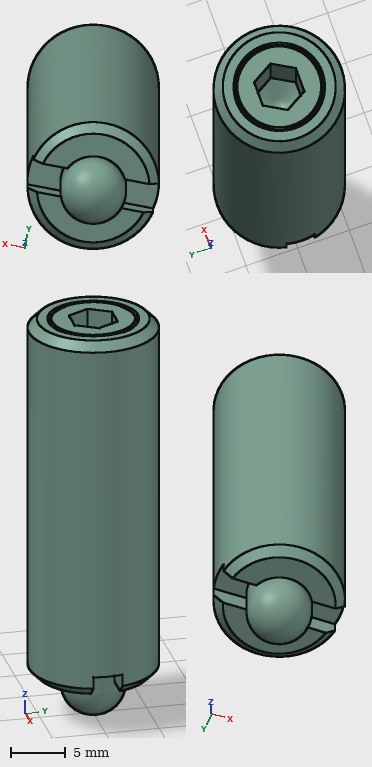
import cadquery as cq
import math

total_length = 39.0
housing_diameter = 12.0
end_chamfer = 0.85

pin_diameter = 6.0
pin_radius = pin_diameter / 2
pin_projection = 4.0
pin_seat_depth = 7.8

slot_width = 2.73
slot_depth = 2.0

hex_across_flats = 4.0
hex_across_corners = hex_across_flats / math.cos(math.pi / 6)
hex_depth = 5.0
drill_point_angle = 118.0

groove_outer_radius = 4.17
groove_inner_radius = 3.82

housing_length = total_length - pin_projection
pin_top = pin_projection + pin_seat_depth


def ring_groove():
    """Revolved V with 45 degree sides, open at the rear face."""
    middle_radius = (groove_outer_radius + groove_inner_radius) / 2
    depth = (groove_outer_radius - groove_inner_radius) / 2
    return (
        cq.Workplane("XZ")
        .moveTo(groove_inner_radius, total_length)
        .lineTo(groove_outer_radius, total_length)
        .lineTo(middle_radius, total_length - depth)
        .close()
        .revolve(360, (0, 0, 0), (0, 1, 0))
    )


def hex_socket():
    """Hexagonal prism with a drill cone below it."""
    floor = total_length - hex_depth
    cone_radius = hex_across_corners / 2
    cone_depth = cone_radius / math.tan(math.radians(drill_point_angle / 2))
    prism = (
        cq.Workplane("XY")
        .workplane(offset=floor)
        .polygon(6, hex_across_corners)
        .extrude(hex_depth)
    )
    cone = (
        cq.Workplane("XZ")
        .moveTo(0, floor)
        .lineTo(cone_radius, floor)
        .lineTo(0, floor - cone_depth)
        .close()
        .revolve(360, (0, 0, 0), (0, 1, 0))
    )
    return prism.union(cone)


def driver_slot():
    """Slot along X through the full width of the nose end."""
    return (
        cq.Workplane("XY")
        .workplane(offset=pin_projection)
        .rect(housing_diameter, slot_width)
        .extrude(slot_depth)
    )


def pin_bore():
    """Blind bore that holds the pin."""
    return (
        cq.Workplane("XY")
        .workplane(offset=pin_projection)
        .circle(pin_radius)
        .extrude(pin_seat_depth)
    )


def make_housing():
    """Cylinder chamfered at both ends, with its bore, slot, socket and groove."""
    cylinder = (
        cq.Workplane("XY")
        .workplane(offset=pin_projection)
        .circle(housing_diameter / 2)
        .extrude(housing_length)
        .faces("|Z")
        .chamfer(end_chamfer)
    )
    return cylinder.cut(pin_bore()).cut(driver_slot()).cut(hex_socket()).cut(ring_groove())


def make_pin():
    """Cylinder with a hemispherical nose."""
    nose_mid = pin_radius * math.sqrt(0.5)
    return (
        cq.Workplane("XZ")
        .threePointArc((nose_mid, pin_radius - nose_mid), (pin_radius, pin_radius))
        .lineTo(pin_radius, pin_top)
        .lineTo(0, pin_top)
        .close()
        .revolve(360, (0, 0, 0), (0, 1, 0))
    )


housing = make_housing()
pin = make_pin()
result = cq.Compound.makeCompound([housing.val(), pin.val()])